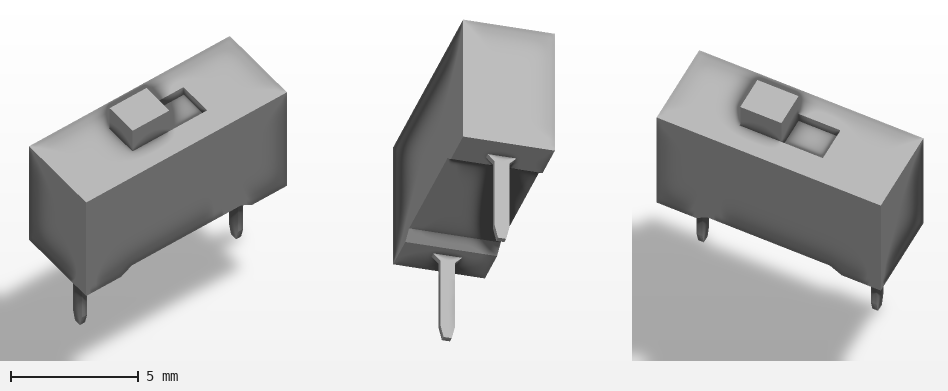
import cadquery as cq

HOUSING_WIDTH = 3.74
HOUSING_LENGTH = 9.8
HOUSING_HEIGHT = 5.4

CHANNEL_DEPTH = 0.32
CHANNEL_MOUTH_LENGTH = 6.38
CHANNEL_ROOF_LENGTH = 5.34

SLIDER_WIDTH = 1.5
KNOB_LENGTH = 1.8
KNOB_RISE = 1.16
FOOT_DROP = 0.41
FOOT_THICKNESS = 0.31
SLIDER_GAP = 0.02
SLOT_WIDTH = SLIDER_WIDTH + 2 * SLIDER_GAP
SLOT_LENGTH = 2 * (KNOB_LENGTH + SLIDER_GAP)
SLOT_DEPTH = FOOT_DROP + FOOT_THICKNESS
SLOT_FLOOR_Z = HOUSING_HEIGHT - SLOT_DEPTH

OVERALL_HEIGHT = 10.35
PIN_LENGTH = OVERALL_HEIGHT - HOUSING_HEIGHT - KNOB_RISE
PIN_SPACING = 7.62
PIN_THICKNESS = 0.25
PIN_SHOULDER_WIDTH = 1.18
PIN_SHOULDER_HEIGHT = 0.29
PIN_STEM_WIDTH = PIN_SHOULDER_WIDTH - 2 * PIN_SHOULDER_HEIGHT
PIN_TIP_WIDTH = 0.33
PIN_TIP_HEIGHT = 0.55


def make_channel():
    """Trapezoidal channel cutter running through the housing along X."""
    mouth = CHANNEL_MOUTH_LENGTH / 2
    roof = CHANNEL_ROOF_LENGTH / 2
    return (
        cq.Workplane("YZ")
        .polyline([(-mouth, 0), (-roof, CHANNEL_DEPTH), (roof, CHANNEL_DEPTH), (mouth, 0)])
        .close()
        .extrude(HOUSING_WIDTH / 2, both=True)
    )


def make_housing():
    """Block with the underside channel and the slider slot in its top."""
    block = cq.Workplane("XY").rect(HOUSING_WIDTH, HOUSING_LENGTH).extrude(HOUSING_HEIGHT)
    slot = (
        cq.Workplane("XY")
        .workplane(offset=SLOT_FLOOR_Z)
        .rect(SLOT_WIDTH, SLOT_LENGTH)
        .extrude(SLOT_DEPTH)
    )
    return block.cut(make_channel()).cut(slot)


def make_slider():
    """Slider on the slot floor: knob over the -Y half, low foot reaching the +Y slot wall."""
    knob_end = -KNOB_LENGTH
    foot_end = SLOT_LENGTH / 2
    foot_top_z = SLOT_FLOOR_Z + FOOT_THICKNESS
    knob_top_z = HOUSING_HEIGHT + KNOB_RISE
    return (
        cq.Workplane("YZ")
        .moveTo(knob_end, SLOT_FLOOR_Z)
        .lineTo(foot_end, SLOT_FLOOR_Z)
        .lineTo(foot_end, foot_top_z)
        .lineTo(0, foot_top_z)
        .lineTo(0, knob_top_z)
        .lineTo(knob_end, knob_top_z)
        .close()
        .extrude(SLIDER_WIDTH / 2, both=True)
    )


def make_pin(y):
    """Flat pin hanging from the underside of the housing, centred at the given Y."""
    shoulder = PIN_SHOULDER_WIDTH / 2
    stem = PIN_STEM_WIDTH / 2
    tip = PIN_TIP_WIDTH / 2
    tip_start_z = PIN_TIP_HEIGHT - PIN_LENGTH
    return (
        cq.Workplane("XZ", origin=(0, y, 0))
        .moveTo(-shoulder, 0)
        .lineTo(-stem, -PIN_SHOULDER_HEIGHT)
        .lineTo(-stem, tip_start_z)
        .lineTo(-tip, -PIN_LENGTH)
        .lineTo(tip, -PIN_LENGTH)
        .lineTo(stem, tip_start_z)
        .lineTo(stem, -PIN_SHOULDER_HEIGHT)
        .lineTo(shoulder, 0)
        .close()
        .extrude(PIN_THICKNESS / 2, both=True)
    )


housing = make_housing()
slider = make_slider()
pins = [make_pin(side * PIN_SPACING / 2) for side in (-1, 1)]

result = cq.Compound.makeCompound([housing.val(), slider.val(), *[pin.val() for pin in pins]])